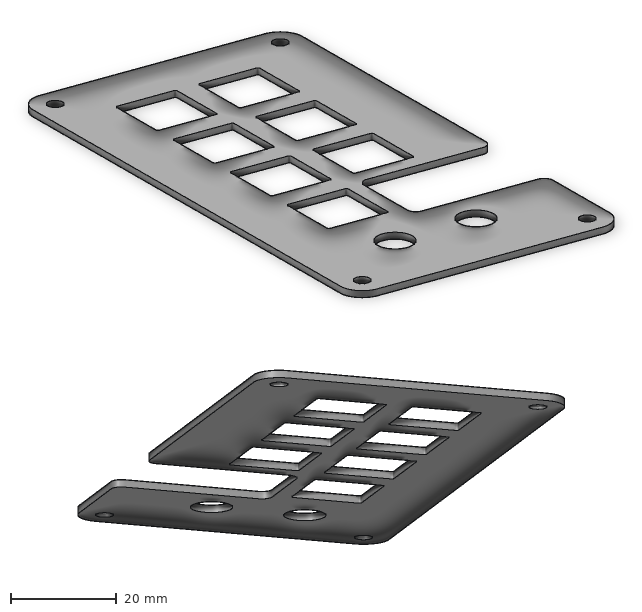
import cadquery as cq

length = 112.5
width = 62.0
thickness = 1.5
corner_radius = 5.1

mount_diameter = 3.4
mount_inset = 5.1

notch_left = 68.3
notch_width = 18.3
notch_depth = 30.8
notch_radius = 2.0

key_size = 14.0
key_radius = 0.5
key_pitch = 19.0
first_key_x = 19.6
first_key_y = 20.7
keys_per_row = (4, 3)

knob_diameter = 8.0
knob_x = length - 17.1
first_knob_y = 20.9
knob_pitch = 18.7
knob_count = 2


def make_plate():
    """Rounded plate with the notch, whose four corners are rounded too."""
    notch_right = notch_left + notch_width
    notch_floor = width - notch_depth
    outline = [
        (0, 0),
        (length, 0),
        (length, width),
        (notch_right, width),
        (notch_right, notch_floor),
        (notch_left, notch_floor),
        (notch_left, width),
        (0, width),
    ]
    plate = cq.Workplane("XY").polyline(outline).close().extrude(thickness)
    plate = plate.edges("|Z and (<X or >X)").fillet(corner_radius)
    notch_zone = cq.selectors.BoxSelector(
        (notch_left - notch_radius, notch_floor - notch_radius, 0),
        (notch_right + notch_radius, width + notch_radius, thickness),
    )
    return plate.edges("|Z").edges(notch_zone).fillet(notch_radius)


def make_holes(points, diameter):
    """Through-hole cutters centred on the given points."""
    return cq.Workplane("XY").pushPoints(points).circle(diameter / 2).extrude(thickness)


def make_key_openings():
    """Through cutters for the rows of square openings."""
    centers = [
        (first_key_x + column * key_pitch, first_key_y + row * key_pitch)
        for row, count in enumerate(keys_per_row)
        for column in range(count)
    ]
    openings = cq.Workplane("XY").pushPoints(centers).rect(key_size, key_size).extrude(thickness)
    return openings.edges("|Z").fillet(key_radius)


mount_points = [
    (x, y)
    for x in (mount_inset, length - mount_inset)
    for y in (mount_inset, width - mount_inset)
]
knob_points = [(knob_x, first_knob_y + i * knob_pitch) for i in range(knob_count)]

result = (
    make_plate()
    .cut(make_holes(mount_points, mount_diameter))
    .cut(make_holes(knob_points, knob_diameter))
    .cut(make_key_openings())
)